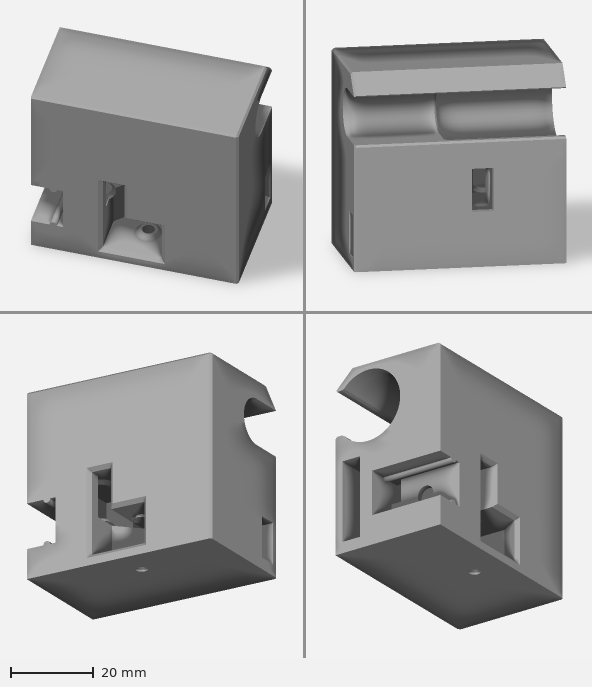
import cadquery as cq
import math

LENGTH = 52.0
DEPTH = 30.9
HEIGHT = 48.5
REAR_BEVEL = 5.05
EDGE_CHAMFER = 0.5

BORE_Y = 21.25
BORE_Z = 37.4
BORE_RADIUS = 9.45
BORE_DEPTH = 29.0
SLOT_RADIUS = 6.0
LIP_BEVEL_REACH = 0.45
LIP_BEVEL_DROP = 0.3

ROOM_FLOOR = 3.0
DECK = 13.75
ROOM_CEILING = 2 * DECK - ROOM_FLOOR
PASSAGE_LEFT = 17.85
PASSAGE_RIGHT = 23.2
WINDOW_RIGHT = 32.6
MOUTH_CHAMFER = 1.0

PULLEY_Y = 8.85

LOWER_PULLEY_X = 27.05
LOWER_ROOM_RIGHT = 35.55
LOWER_ROOM_REAR = 17.5
FLARE_DEPTH = 5.05
SLANT_END_X = 25.05

UPPER_PULLEY_X = 15.55
UPPER_ROOM_CLEARANCE = 5.2
OUTLET_FRONT = 17.25

CHANNEL_FRONT = 23.7
CHANNEL_REAR = 28.85

SEAT_TOP_RADIUS = 2.3
SEAT_HEIGHT = 1.0
SCREW_DIAMETER = 3.0
WASHER_THICKNESS = 0.1

POCKET_LENGTH = 8.1
POCKET_DEPTH = 20.05
POCKET_HEIGHT = 11.8
BEAD_X = 5.6
BEAD_RADIUS = 0.95
PIN_HOLE_DIAMETER = 4.6
PIN_HOLE_DEPTH = 1.55
PIN_HOLE_Y = 10.0


def box(x_range, y_range, z_range):
    """Axis-aligned box between two limits on each axis."""
    size = [high - low for low, high in (x_range, y_range, z_range)]
    corner = (x_range[0], y_range[0], z_range[0])
    return cq.Workplane("XY").box(*size, centered=False).translate(corner)


def outer_block():
    """Block with a bevelled rear top edge and small chamfers at the front top and +X edges."""
    block = (
        cq.Workplane("YZ")
        .moveTo(0, 0)
        .lineTo(DEPTH, 0)
        .lineTo(DEPTH, HEIGHT - REAR_BEVEL)
        .lineTo(DEPTH - REAR_BEVEL, HEIGHT)
        .lineTo(0, HEIGHT)
        .close()
        .extrude(LENGTH)
    )
    end_edges = block.faces(">X").edges("not <Z")
    front_top_edge = block.faces(">Z").edges("<Y")
    return block.newObject(end_edges.vals() + front_top_edge.vals()).chamfer(EDGE_CHAMFER)


def rod_slot(x_start, length, radius, taper=0):
    """U-shaped slot solid along X that opens through the rear; a taper narrows it towards +X."""
    rear = DEPTH + BORE_RADIUS
    return (
        cq.Workplane("YZ", origin=(x_start, 0, 0))
        .moveTo(rear, BORE_Z + radius)
        .lineTo(BORE_Y, BORE_Z + radius)
        .threePointArc((BORE_Y - radius, BORE_Z), (BORE_Y, BORE_Z - radius))
        .lineTo(rear, BORE_Z - radius)
        .close()
        .extrude(length, taper=taper)
    )


def slot_lip_flare():
    """Wedge that chamfers the rear edges of both slot lips."""
    half = SLOT_RADIUS
    return (
        cq.Workplane("YZ")
        .moveTo(DEPTH - EDGE_CHAMFER, BORE_Z - half)
        .lineTo(DEPTH, BORE_Z - half - EDGE_CHAMFER)
        .lineTo(DEPTH, BORE_Z + half + EDGE_CHAMFER)
        .lineTo(DEPTH - EDGE_CHAMFER, BORE_Z + half)
        .close()
        .extrude(LENGTH)
    )


def bore_lip_bevel():
    """Prism that bevels the long edges where the bore meets the slot lips."""
    lip_y = BORE_Y + math.sqrt(BORE_RADIUS**2 - SLOT_RADIUS**2)
    half = SLOT_RADIUS
    inner_y = lip_y - LIP_BEVEL_DROP
    outer_y = lip_y + LIP_BEVEL_REACH
    return (
        cq.Workplane("YZ")
        .moveTo(inner_y, BORE_Z - half - LIP_BEVEL_DROP)
        .lineTo(outer_y, BORE_Z - half)
        .lineTo(outer_y, BORE_Z + half)
        .lineTo(inner_y, BORE_Z + half + LIP_BEVEL_DROP)
        .close()
        .extrude(BORE_DEPTH)
    )


def bearing_cutter():
    """Bearing bore from the -X end, followed by the rod slot with a chamfered entry."""
    bore_end = BORE_DEPTH + EDGE_CHAMFER
    flare_limit = cq.Workplane("YZ").center(BORE_Y, BORE_Z).circle(BORE_RADIUS).extrude(bore_end)
    bore = cq.Workplane("YZ").center(BORE_Y, BORE_Z).circle(BORE_RADIUS).extrude(BORE_DEPTH)
    flared_slot = rod_slot(BORE_DEPTH, EDGE_CHAMFER, SLOT_RADIUS + EDGE_CHAMFER, taper=45)
    entry = flared_slot.intersect(flare_limit)
    cutter = rod_slot(0, LENGTH, SLOT_RADIUS).union(bore).union(entry)
    return cutter.union(bore_lip_bevel()).union(slot_lip_flare())


def window_outline(y, grow):
    """L-shaped front window in the plane at y, enlarged by grow on every side."""
    return cq.Wire.makePolygon(
        [
            cq.Vector(PASSAGE_LEFT - grow, y, ROOM_FLOOR - grow),
            cq.Vector(WINDOW_RIGHT + grow, y, ROOM_FLOOR - grow),
            cq.Vector(WINDOW_RIGHT + grow, y, DECK + grow),
            cq.Vector(PASSAGE_RIGHT + grow, y, DECK + grow),
            cq.Vector(PASSAGE_RIGHT + grow, y, ROOM_CEILING + grow),
            cq.Vector(PASSAGE_LEFT - grow, y, ROOM_CEILING + grow),
        ],
        close=True,
    )


def window_mouth():
    """Chamfered mouth of the front window."""
    outlines = [window_outline(0, MOUTH_CHAMFER), window_outline(MOUTH_CHAMFER, 0)]
    return cq.Workplane(cq.Solid.makeLoft(outlines, True))


def lower_room():
    """Room behind the wide part of the window, wider inside and slanted at its left rear."""
    slant_start_y = LOWER_ROOM_REAR - (SLANT_END_X - PASSAGE_LEFT)
    return (
        cq.Workplane("XY", origin=(0, 0, ROOM_FLOOR))
        .moveTo(PASSAGE_LEFT, 0)
        .lineTo(WINDOW_RIGHT, 0)
        .lineTo(WINDOW_RIGHT, MOUTH_CHAMFER)
        .lineTo(LOWER_ROOM_RIGHT, MOUTH_CHAMFER + FLARE_DEPTH)
        .lineTo(LOWER_ROOM_RIGHT, LOWER_ROOM_REAR)
        .lineTo(SLANT_END_X, LOWER_ROOM_REAR)
        .lineTo(PASSAGE_LEFT, slant_start_y)
        .close()
        .extrude(DECK - ROOM_FLOOR)
    )


def belt_cutter():
    """Both pulley rooms, the front-to-rear passage, the pocket outlet and the belt channel along X."""
    upper_z = (DECK, ROOM_CEILING)
    channel_y = (CHANNEL_FRONT, CHANNEL_REAR)
    passage = box((PASSAGE_LEFT, PASSAGE_RIGHT), (0, DEPTH), upper_z)
    room_x = (UPPER_PULLEY_X - UPPER_ROOM_CLEARANCE, PASSAGE_LEFT)
    room_y = (PULLEY_Y - UPPER_ROOM_CLEARANCE, POCKET_DEPTH)
    upper_room = box(room_x, room_y, upper_z)
    outlet_top = DECK + POCKET_HEIGHT / 2
    outlet = box((POCKET_LENGTH, PASSAGE_LEFT), (OUTLET_FRONT, POCKET_DEPTH), (DECK, outlet_top))
    upper_channel = box((0, PASSAGE_RIGHT), channel_y, upper_z)
    lower_channel = box((0, LENGTH), channel_y, (ROOM_FLOOR, DECK))
    cutter = window_mouth().union(lower_room()).union(passage)
    return cutter.union(upper_room).union(outlet).union(upper_channel).union(lower_channel)


def cone_seat(x, y, z, direction):
    """Conical pulley seat standing on a room floor (direction 1) or hanging from a ceiling (-1)."""
    return (
        cq.Workplane("XY", origin=(x, y, z))
        .circle(SEAT_TOP_RADIUS + SEAT_HEIGHT)
        .workplane(offset=direction * SEAT_HEIGHT)
        .circle(SEAT_TOP_RADIUS)
        .loft()
    )


def stem_seat():
    """Short stem with a thin washer, hanging from the lower room ceiling."""
    stem = (
        cq.Workplane("XY", origin=(LOWER_PULLEY_X, PULLEY_Y, DECK - SEAT_HEIGHT))
        .circle(SCREW_DIAMETER / 2)
        .extrude(SEAT_HEIGHT)
    )
    return stem.faces("<Z").workplane().circle(SEAT_TOP_RADIUS).extrude(-WASHER_THICKNESS)


def screw_hole():
    """Screw hole from the bottom face up through the lower floor seat."""
    axis = cq.Workplane("XY").center(LOWER_PULLEY_X, PULLEY_Y)
    return axis.circle(SCREW_DIAMETER / 2).extrude(ROOM_FLOOR + SEAT_HEIGHT)


def side_pocket():
    """Pocket open to the front and -X faces, narrowed by two half-round beads, with a pin hole."""
    bottom = DECK - POCKET_HEIGHT / 2
    top = DECK + POCKET_HEIGHT / 2
    pocket = box((0, POCKET_LENGTH), (0, POCKET_DEPTH), (bottom, top))
    for bead_z in (bottom, top):
        bead = cq.Workplane("XZ").center(BEAD_X, bead_z).circle(BEAD_RADIUS).extrude(-POCKET_DEPTH)
        pocket = pocket.cut(bead)
    pin_hole = (
        cq.Workplane("YZ", origin=(POCKET_LENGTH, 0, 0))
        .center(PIN_HOLE_Y, DECK)
        .circle(PIN_HOLE_DIAMETER / 2)
        .extrude(PIN_HOLE_DEPTH)
    )
    return pocket.union(pin_hole)


result = outer_block().cut(bearing_cutter()).cut(belt_cutter()).cut(side_pocket())
result = result.union(cone_seat(LOWER_PULLEY_X, PULLEY_Y, ROOM_FLOOR, 1)).union(stem_seat())
for seat_z, seat_direction in ((DECK, 1), (ROOM_CEILING, -1)):
    result = result.union(cone_seat(UPPER_PULLEY_X, PULLEY_Y, seat_z, seat_direction))
result = result.cut(screw_hole())